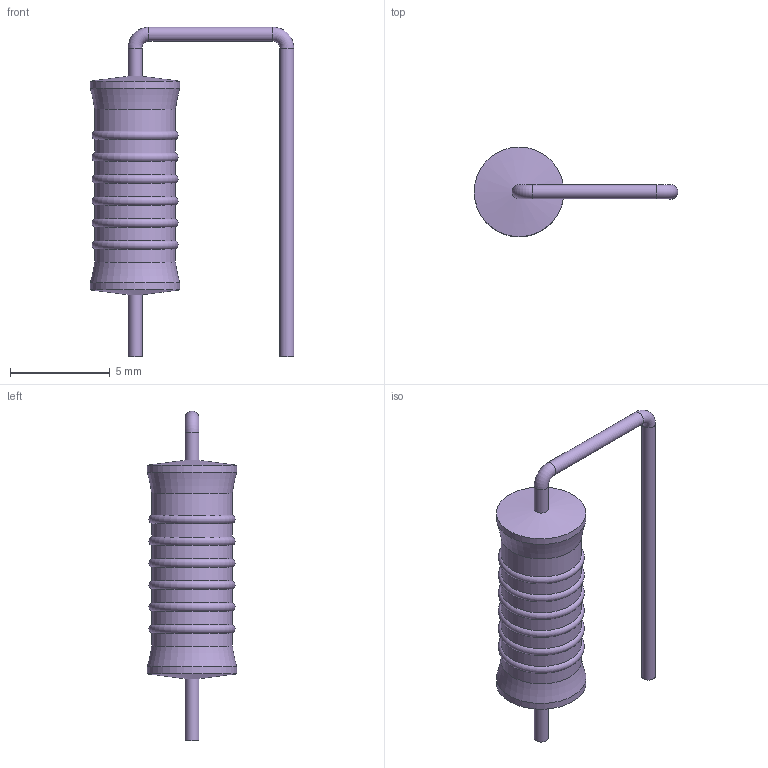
import cadquery as cq

wire_diameter = 0.7
lead_pitch = 7.62
bend_radius = 0.7
wire_bottom_z = -3.0
overall_height = 16.55
wire_axis_top_z = wire_bottom_z + overall_height - wire_diameter / 2

body_diameter = 4.05
cap_diameter = 4.5
body_length = 10.96
body_bottom_z = 0.12
cone_height = 0.24
rim_height = 0.35
flare_height = 1.05
flare_bulge = 0.02

band_count = 6
band_pitch = 1.1
first_band_z = 2.62
band_outer_radius = 2.16
band_half_width = 0.21
band_root_radius = 1.8

wire_radius = wire_diameter / 2
body_radius = body_diameter / 2
cap_radius = cap_diameter / 2
body_top_z = body_bottom_z + body_length


def make_body():
    """Revolve the barrel with flared end caps and shallow conical ends."""
    lower_rim_z = body_bottom_z + cone_height
    lower_flare_z = lower_rim_z + rim_height
    lower_barrel_z = lower_flare_z + flare_height
    upper_rim_z = body_top_z - cone_height
    upper_flare_z = upper_rim_z - rim_height
    upper_barrel_z = upper_flare_z - flare_height
    flare_mid_radius = (body_radius + cap_radius) / 2 - flare_bulge
    lower_flare_mid = (flare_mid_radius, (lower_flare_z + lower_barrel_z) / 2)
    upper_flare_mid = (flare_mid_radius, (upper_flare_z + upper_barrel_z) / 2)

    profile = (
        cq.Workplane("XZ")
        .moveTo(0, body_bottom_z)
        .lineTo(wire_radius, body_bottom_z)
        .lineTo(cap_radius, lower_rim_z)
        .lineTo(cap_radius, lower_flare_z)
        .threePointArc(lower_flare_mid, (body_radius, lower_barrel_z))
        .lineTo(body_radius, upper_barrel_z)
        .threePointArc(upper_flare_mid, (cap_radius, upper_flare_z))
        .lineTo(cap_radius, upper_rim_z)
        .lineTo(wire_radius, body_top_z)
        .lineTo(0, body_top_z)
        .close()
    )
    return profile.revolve(360, (0, 0, 0), (0, 1, 0))


def make_band(center_z):
    """Revolve one rounded band standing proud of the barrel."""
    section = (
        cq.Workplane("XZ")
        .moveTo(band_root_radius, center_z - band_half_width)
        .lineTo(body_radius, center_z - band_half_width)
        .threePointArc((band_outer_radius, center_z), (body_radius, center_z + band_half_width))
        .lineTo(band_root_radius, center_z + band_half_width)
        .close()
    )
    return section.revolve(360, (0, 0, 0), (0, 1, 0))


def make_wire():
    """Sweep the lead up through the body, across and down again."""
    bend_start_z = wire_axis_top_z - bend_radius
    path = (
        cq.Workplane("XZ")
        .moveTo(0, wire_bottom_z)
        .lineTo(0, bend_start_z)
        .tangentArcPoint((bend_radius, wire_axis_top_z), relative=False)
        .lineTo(lead_pitch - bend_radius, wire_axis_top_z)
        .tangentArcPoint((lead_pitch, bend_start_z), relative=False)
        .lineTo(lead_pitch, wire_bottom_z)
    )
    section = cq.Workplane("XY").workplane(offset=wire_bottom_z).circle(wire_radius)
    return section.sweep(path)


result = make_body().union(make_wire())
for band_index in range(band_count):
    result = result.union(make_band(first_band_z + band_index * band_pitch))